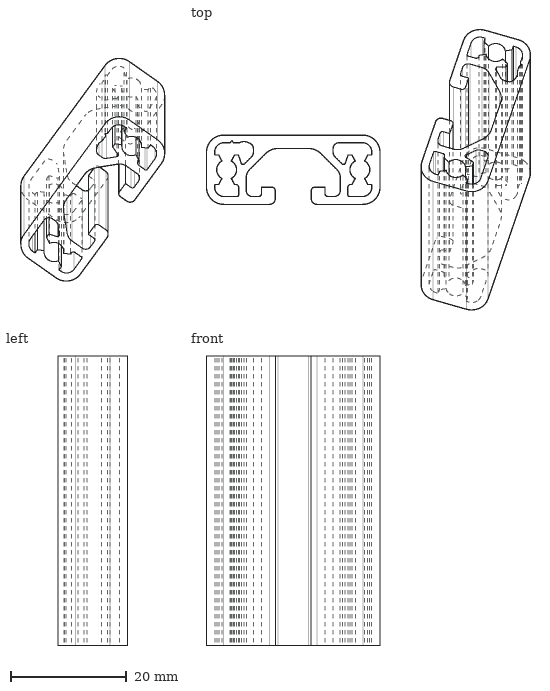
import cadquery as cq
import math

width = 30.0
depth = 12.0
length = 50.0
corner_radius = 3.0
back_wall = 1.35
side_wall = 1.45
front_wall = 1.4

mouth_half_width = 3.1
slot_half_width = 8.1
slot_ceiling_y = 3.65
slot_slope_sum = 7.55
ceiling_blend_radius = 3.0
slot_wall_blend_radius = 2.0
slot_floor_radius = 1.0
lip_top_y = -3.0
lip_inner_x = 5.5
lip_root_radius = 0.45
lip_top_radius = 0.6
lip_outer_radius = 1.0
mouth_overcut = 0.5

core_x = 11.5
core_radius = 1.7
shelf_y = 2.55
flare_half_width = 1.35
web_inner_x = 9.45
web_foot_radius = 0.25
web_shelf_radius = 0.45
chamber_corner_radius = 1.6
chamber_inner_x = 6.9
chamber_inner_radius = 1.0
valley_slope_sum = 9.45
valley_x = 8.5
valley_flat = 0.4

groove_x = -10.6
groove_half_width = 0.3
groove_depth = 0.35
relief_radius = 1.6
relief_rise = 0.2

front_y = -depth / 2
floor_y = front_y + front_wall
chamber_ceiling_y = depth / 2 - back_wall
chamber_outer_x = width / 2 - side_wall


def toward(start, end, distance):
    """Point at a given distance from start on the line to end."""
    share = distance / math.dist(start, end)
    return (start[0] + share * (end[0] - start[0]), start[1] + share * (end[1] - start[1]))


def rounded_prism(corners):
    """Full-length prism over corners (x, y, radius); a radius of 0 is a sharp corner."""
    path = []
    for i, (x, y, radius) in enumerate(corners):
        corner = (x, y)
        before = corners[i - 1][:2]
        after = corners[(i + 1) % len(corners)][:2]
        if radius == 0:
            path.append((corner,))
            continue
        to_before = toward(corner, before, 0.5)
        to_after = toward(corner, after, 0.5)
        half_angle = math.asin(math.dist(to_before, to_after) / 1)
        tangent_length = radius / math.tan(half_angle)
        bisector_point = ((to_before[0] + to_after[0]) / 2, (to_before[1] + to_after[1]) / 2)
        middle = toward(corner, bisector_point, radius / math.sin(half_angle) - radius)
        path.append((
            toward(corner, before, tangent_length),
            middle,
            toward(corner, after, tangent_length),
        ))

    outline = cq.Workplane("XY").moveTo(*path[0][-1])
    for points in path[1:] + path[:1]:
        outline = outline.lineTo(*points[0])
        if len(points) > 1:
            outline = outline.threePointArc(points[1], points[2])
    return outline.wire().extrude(length)


def mirror_x(corners):
    """Corners reflected across X = 0, in reversed order."""
    return [(-x, y, radius) for x, y, radius in reversed(corners)]


def make_body():
    """Solid bar with rounded long edges."""
    body = cq.Workplane("XY").rect(width, depth).extrude(length)
    return body.edges("|Z").fillet(corner_radius)


def make_slot():
    """T-slot cavity with sloping shoulders."""
    half = [
        (mouth_half_width, lip_top_y, lip_top_radius),
        (lip_inner_x, lip_top_y, 0),
        (lip_inner_x, floor_y, lip_root_radius),
        (slot_half_width, floor_y, slot_floor_radius),
        (slot_half_width, slot_slope_sum - slot_half_width, slot_wall_blend_radius),
        (slot_slope_sum - slot_ceiling_y, slot_ceiling_y, ceiling_blend_radius),
    ]
    mouth = [(mouth_half_width, front_y - mouth_overcut, 0)]
    return rounded_prism(mouth + half + mirror_x(mouth + half))


def make_chamber():
    """+X chamber: upper and lower pockets joined by a flared screw core."""
    valley_y = valley_slope_sum - valley_x
    upper = rounded_prism([
        (chamber_outer_x, shelf_y, 0),
        (chamber_outer_x, chamber_ceiling_y, chamber_corner_radius),
        (chamber_inner_x, chamber_ceiling_y, chamber_inner_radius),
        (chamber_inner_x, valley_slope_sum - chamber_inner_x, chamber_inner_radius),
        (valley_x, valley_y, 0),
        (valley_x + valley_flat, valley_y, 0),
        (web_inner_x, shelf_y, 0),
    ])
    lower = rounded_prism([
        (web_inner_x, -shelf_y, web_shelf_radius),
        (web_inner_x, floor_y, web_foot_radius),
        (chamber_outer_x, floor_y, chamber_corner_radius),
        (chamber_outer_x, -shelf_y, 0),
    ])
    chamber = upper.union(lower)
    for side in (1, -1):
        flare = rounded_prism([
            (core_x, 0, 0),
            (core_x + flare_half_width, side * shelf_y, 0),
            (core_x - flare_half_width, side * shelf_y, 0),
        ])
        chamber = chamber.union(flare)
    core = cq.Workplane("XY").center(core_x, 0).circle(core_radius).extrude(length)
    return chamber.union(core)


def make_ceiling_marks():
    """V-groove and round corner relief of the -X chamber."""
    groove = rounded_prism([
        (groove_x - groove_half_width, chamber_ceiling_y, 0),
        (groove_x + groove_half_width, chamber_ceiling_y, 0),
        (groove_x, chamber_ceiling_y + groove_depth, 0),
    ])
    relief_x = -chamber_inner_x - relief_radius
    relief_y = chamber_ceiling_y + relief_rise - relief_radius
    relief = cq.Workplane("XY").center(relief_x, relief_y).circle(relief_radius).extrude(length)
    upper_half = (
        cq.Workplane("XY")
        .center(relief_x, relief_y + relief_radius)
        .rect(2 * relief_radius, 2 * relief_radius)
        .extrude(length)
    )
    return groove.union(relief.intersect(upper_half))


def round_lips(body):
    """Round the outer edges of the slot mouth."""
    for x in (mouth_half_width, -mouth_half_width):
        edge = cq.selectors.NearestToPointSelector((x, front_y, length / 2))
        body = body.edges("|Z").edges(edge).fillet(lip_outer_radius)
    return body


chamber = make_chamber()
result = round_lips(make_body().cut(make_slot()))
result = result.cut(chamber).cut(chamber.mirror("YZ")).cut(make_ceiling_marks())